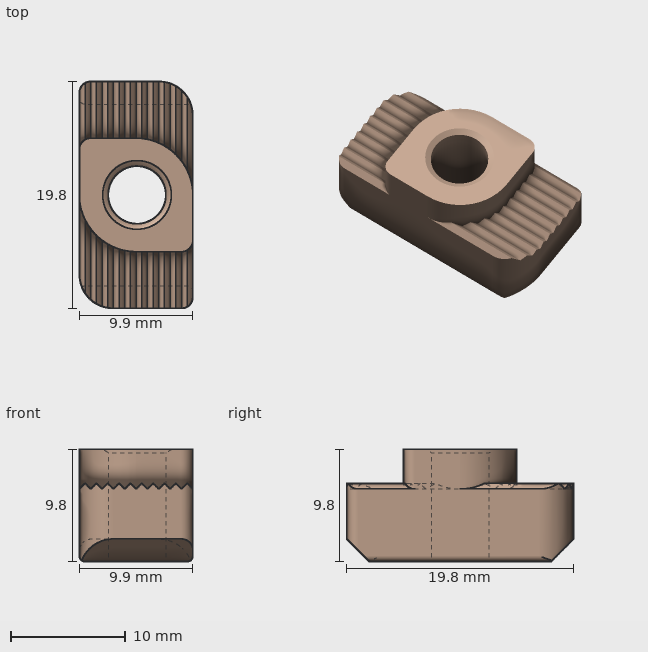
import cadquery as cq
import math

width = 9.9
length = 19.8
height = 9.8

tooth_peak_height = 6.83
tooth_depth = 0.5
tooth_count = 10
tooth_pitch = width / tooth_count
tooth_valley_height = tooth_peak_height - tooth_depth

small_corner = 0.99
base_large_corner = 2.97
boss_large_corner = width / 2
end_chamfer = 1.98
bottom_fillet = 0.5

hole_diameter = 5.0
hole_offset_x = 0.08
countersink_width = 0.5
countersink_angle = 120.0
countersink_depth = countersink_width / math.tan(math.radians(countersink_angle / 2))


def two_radius_block(block_length, block_height, large_corner):
    """Block whose +X+Y and -X-Y corners are large and the other two small."""
    block = cq.Workplane("XY").rect(width, block_length).extrude(block_height)
    for x_side, y_side in ((1, 1), (-1, -1), (1, -1), (-1, 1)):
        radius = large_corner if x_side == y_side else small_corner
        corner = cq.selectors.NearestToPointSelector(
            (x_side * width / 2, y_side * block_length / 2, block_height / 2)
        )
        block = block.edges("|Z").edges(corner).fillet(radius)
    return block


def serrated_bar():
    """Bar along Y with a toothed top and rounded lower long edges."""
    outline = [(-width / 2, 0), (-width / 2, tooth_valley_height)]
    for tooth in range(tooth_count):
        valley_x = -width / 2 + tooth * tooth_pitch
        outline.append((valley_x + tooth_pitch / 2, tooth_peak_height))
        outline.append((valley_x + tooth_pitch, tooth_valley_height))
    outline.append((width / 2, 0))
    bar = cq.Workplane("XZ").polyline(outline).close().extrude(length / 2, both=True)
    return bar.edges("|Y and <Z").fillet(bottom_fillet)


def end_chamfered_bar():
    """Bar across X with its lower end edges chamfered."""
    bar = cq.Workplane("XY").box(width, length, height, centered=(True, True, False))
    return bar.edges("|X and <Z").chamfer(end_chamfer)


base = (
    two_radius_block(length, tooth_peak_height, base_large_corner)
    .intersect(serrated_bar())
    .intersect(end_chamfered_bar())
)

boss_bottom = tooth_valley_height - tooth_depth
boss = two_radius_block(width, height - boss_bottom, boss_large_corner).translate((0, 0, boss_bottom))

hole = cq.Workplane("XY", origin=(hole_offset_x, 0, 0)).circle(hole_diameter / 2).extrude(height)
countersink = (
    cq.Workplane("XY", origin=(hole_offset_x, 0, height))
    .circle(hole_diameter / 2 + countersink_width)
    .workplane(offset=-countersink_depth)
    .circle(hole_diameter / 2)
    .loft(ruled=True)
)

result = base.union(boss).cut(hole).cut(countersink)